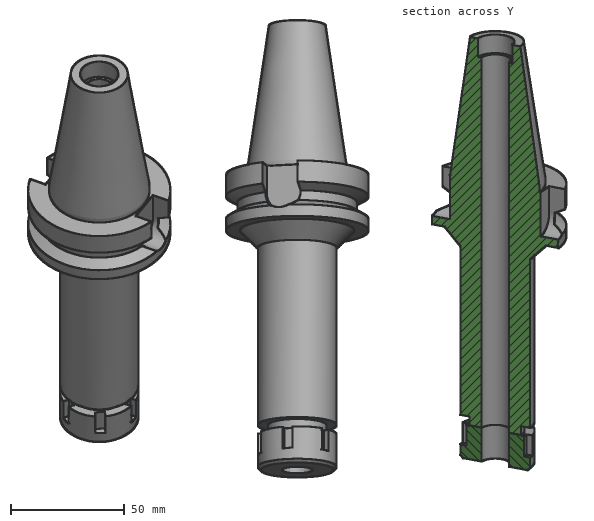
import cadquery as cq

total_height = 200.5
taper_base = 135.0
flange_top = 133.0
upper_rim_bottom = 123.5
groove_top = 120.6
groove_bottom = 116.2
lower_rim_top = 113.2
flange_bottom = 108.0
shank_top = 100.2
shank_bottom = 20.2
nut_top = 16.0

taper_top_radius = 12.6
taper_base_radius = 22.2
flange_radius = 31.5
groove_radius = 26.5
shank_radius = 17.5
shoulder_radius = shank_radius + flange_bottom - shank_top
neck_radius = 13.0

bore_radius = 6.8
socket_radius = 8.5
socket_depth = 8.8

drive_slot_width = 16.0
drive_slot_bottom = 112.2
drive_slot_floor = 22.6

nut_radius = shank_radius
nut_chamfer = 1.5
spanner_slot_count = 6
spanner_slot_width = 4.5
spanner_slot_bottom = 6.5
spanner_slot_floor = 14.5


def bore(bottom, top, radius):
    """Cylinder on the tool axis, used as a cutter."""
    return cq.Workplane("XY").workplane(offset=bottom).circle(radius).extrude(top - bottom)


def holder_blank():
    """Taper, V-grooved flange, shank and neck as one revolved profile."""
    profile = [
        (0, nut_top),
        (neck_radius, nut_top),
        (neck_radius, shank_bottom),
        (shank_radius, shank_bottom),
        (shank_radius, shank_top),
        (shoulder_radius, flange_bottom),
        (flange_radius, flange_bottom),
        (flange_radius, lower_rim_top),
        (groove_radius, groove_bottom),
        (groove_radius, groove_top),
        (flange_radius, upper_rim_bottom),
        (flange_radius, flange_top),
        (taper_base_radius, flange_top),
        (taper_base_radius, taper_base),
        (taper_top_radius, total_height),
        (0, total_height),
    ]
    return cq.Workplane("XZ").polyline(profile).close().revolve(360, (0, 0), (0, 1))


def drive_slot(side):
    """Round-bottomed slot cutter; side is +1 or -1 along X."""
    half_width = drive_slot_width / 2
    arc_center = drive_slot_bottom + half_width
    return (
        cq.Workplane("YZ")
        .workplane(offset=side * drive_slot_floor)
        .moveTo(-half_width, flange_top)
        .lineTo(-half_width, arc_center)
        .threePointArc((0, drive_slot_bottom), (half_width, arc_center))
        .lineTo(half_width, flange_top)
        .close()
        .extrude(side * flange_radius)
    )


def make_holder():
    holder = holder_blank()
    for side in (-1, 1):
        holder = holder.cut(drive_slot(side))
    holder = holder.cut(bore(nut_top, total_height, bore_radius))
    return holder.cut(bore(total_height - socket_depth, total_height, socket_radius))


def spanner_slot(angle):
    """Slot cutter open at the top and rim of the nut."""
    return (
        cq.Workplane("XY")
        .box(nut_radius, spanner_slot_width, nut_top - spanner_slot_bottom, centered=(False, True, False))
        .translate((spanner_slot_floor, 0, spanner_slot_bottom))
        .rotate((0, 0, 0), (0, 0, 1), angle)
    )


def make_nut():
    nut = cq.Workplane("XY").circle(nut_radius).extrude(nut_top)
    nut = nut.faces("<Z").edges().chamfer(nut_chamfer)
    for i in range(spanner_slot_count):
        nut = nut.cut(spanner_slot(i * 360 / spanner_slot_count))
    return nut.cut(bore(0, nut_top, bore_radius))


holder = make_holder()
nut = make_nut()
result = cq.Compound.makeCompound([holder.val(), nut.val()])